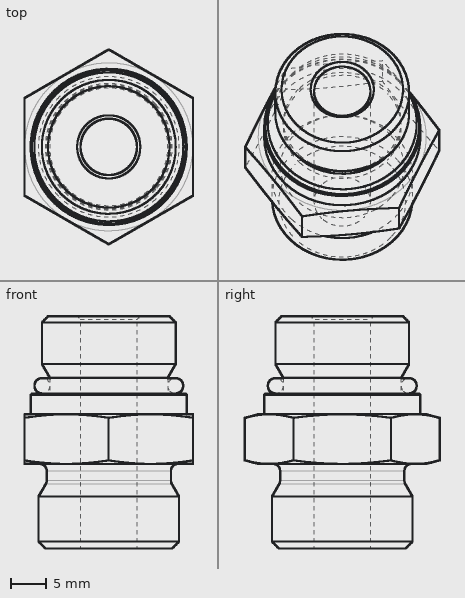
import cadquery as cq
import math

total_length = 33.0
hex_bottom = 12.0
hex_top = 19.07
collar_top = 22.0

lower_thread_radius = 20.0 / 2
lower_chamfer = 1.0
lower_thread_top = 7.4
lower_relief_radius = 17.7 / 2
shoulder_fillet = 1.0

runout_angle = 30.0
runout_blend_radius = 1.0

hex_across_flats = 24.0
hex_across_corners = hex_across_flats / math.cos(math.radians(30))
hex_chamfer_radius = 11.95
hex_chamfer_angle = 15.0

collar_radius = 22.2 / 2
collar_chamfer = 0.2

upper_thread_radius = 19.05 / 2
upper_chamfer = 0.9
upper_thread_bottom = 26.2
groove_radius = 16.75 / 2

ring_section_radius = 2.2 / 2
ring_centre_radius = groove_radius + ring_section_radius
ring_centre_height = collar_top + ring_section_radius

bore_radius = 8.0 / 2
bore_chamfer = 0.5


def revolve_profile(profile):
    """Turn a closed radius-height profile around the Z axis."""
    return profile.close().revolve(360, (0, 0, 0), (0, 1, 0))


def runout_blend(thread_radius, relief_radius, thread_end, toward_relief):
    """Start, middle and end points of the arc blending a runout cone into its relief.

    toward_relief is +1 when the relief lies above the thread and -1 when it lies below.
    """
    angle = math.radians(runout_angle)
    corner_distance = (thread_radius - relief_radius) / math.tan(angle)
    arc_end_distance = corner_distance + runout_blend_radius * math.tan(angle / 2)

    def arc_point(turn):
        radius = relief_radius + runout_blend_radius * (1 - math.cos(turn))
        distance = arc_end_distance - runout_blend_radius * math.sin(turn)
        return radius, thread_end + toward_relief * distance

    return arc_point(angle), arc_point(angle / 2), arc_point(0)


def make_lower_end():
    """Chamfered thread, conical runout and relief below the hexagon."""
    blend_start, blend_middle, blend_end = runout_blend(
        lower_thread_radius, lower_relief_radius, lower_thread_top, 1
    )
    fillet_drop = shoulder_fillet * math.sqrt(0.5)
    fillet_centre_radius = lower_relief_radius + shoulder_fillet
    fillet_centre_height = hex_bottom - shoulder_fillet
    return revolve_profile(
        cq.Workplane("XZ")
        .lineTo(lower_thread_radius - lower_chamfer, 0)
        .lineTo(lower_thread_radius, lower_chamfer)
        .lineTo(lower_thread_radius, lower_thread_top)
        .lineTo(*blend_start)
        .threePointArc(blend_middle, blend_end)
        .lineTo(lower_relief_radius, fillet_centre_height)
        .threePointArc(
            (fillet_centre_radius - fillet_drop, fillet_centre_height + fillet_drop),
            (fillet_centre_radius, hex_bottom),
        )
        .lineTo(0, hex_bottom)
    )


def make_hexagon():
    """Hexagonal prism with its corners trimmed conically at both ends."""
    prism = (
        cq.Workplane("XY", origin=(0, 0, hex_bottom))
        .polygon(6, hex_across_corners)
        .extrude(hex_top - hex_bottom)
        .rotate((0, 0, 0), (0, 0, 1), 30)
    )
    outer_radius = hex_across_corners / 2
    corner_drop = (outer_radius - hex_chamfer_radius) * math.tan(math.radians(hex_chamfer_angle))
    envelope = revolve_profile(
        cq.Workplane("XZ")
        .moveTo(0, hex_bottom)
        .lineTo(hex_chamfer_radius, hex_bottom)
        .lineTo(outer_radius, hex_bottom + corner_drop)
        .lineTo(outer_radius, hex_top - corner_drop)
        .lineTo(hex_chamfer_radius, hex_top)
        .lineTo(0, hex_top)
    )
    return prism.intersect(envelope)


def make_upper_end():
    """Collar, ring groove, conical runout and chamfered thread above the hexagon."""
    blend_start, blend_middle, blend_end = runout_blend(
        upper_thread_radius, groove_radius, upper_thread_bottom, -1
    )
    return revolve_profile(
        cq.Workplane("XZ")
        .moveTo(0, hex_top)
        .lineTo(collar_radius, hex_top)
        .lineTo(collar_radius, collar_top - collar_chamfer)
        .lineTo(collar_radius - collar_chamfer, collar_top)
        .lineTo(groove_radius, collar_top)
        .lineTo(*blend_end)
        .threePointArc(blend_middle, blend_start)
        .lineTo(upper_thread_radius, upper_thread_bottom)
        .lineTo(upper_thread_radius, total_length - upper_chamfer)
        .lineTo(upper_thread_radius - upper_chamfer, total_length)
        .lineTo(0, total_length)
    )


def make_bore():
    """Through bore with a chamfered mouth at the top."""
    return revolve_profile(
        cq.Workplane("XZ")
        .lineTo(bore_radius, 0)
        .lineTo(bore_radius, total_length - bore_chamfer)
        .lineTo(bore_radius + bore_chamfer, total_length)
        .lineTo(0, total_length)
    )


def make_fitting():
    """Complete turned and hexagonal fitting body."""
    return make_lower_end().union(make_hexagon()).union(make_upper_end()).cut(make_bore())


def make_sealing_ring():
    """Round-section ring resting on the collar and the groove floor."""
    return cq.Workplane(cq.Solid.makeTorus(ring_centre_radius, ring_section_radius)).translate(
        (0, 0, ring_centre_height)
    )


fitting = make_fitting()
sealing_ring = make_sealing_ring()

result = cq.Compound.makeCompound([fitting.val(), sealing_ring.val()])